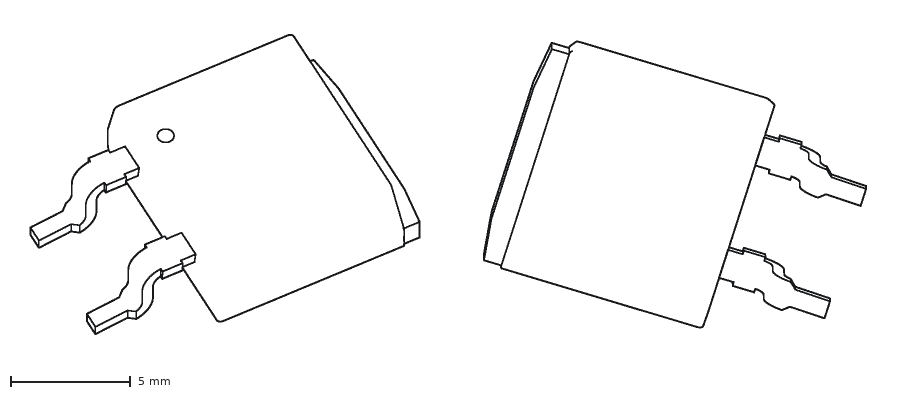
import cadquery as cq
import math

TILT = 0.5

HOUSING_WIDTH = 9.82
HOUSING_LENGTH = 9.06
HOUSING_HEIGHT = 4.13
BACK_WALL_HEIGHT = 1.1
SIDE_WALL_HEIGHT = 1.08
PARTING_HEIGHT = 2.33
SIDE_LEAN = 0.48
BACK_LEAN = 0.44
FRONT_UPPER_LEAN = 0.18
FRONT_LOWER_LEAN = 0.22
LONG_EDGE_RADIUS = 0.29
SIDE_EDGE_RADIUS = 0.1

MARK_X = -2.2
MARK_Y = 1.46
MARK_TOP_RADIUS = 0.5
MARK_FLOOR_RADIUS = 0.35
MARK_DEPTH = 0.16
MARK_RIM_RADIUS = 0.16

TAB_WIDTH = 9.54
TAB_LENGTH = 0.99
TAB_BACK_WIDTH = 5.91
TAB_CORNER_LENGTH = 0.23

LEAD_SPACING = 5.08
LEAD_THICKNESS = 0.51
LEAD_TOP = PARTING_HEIGHT + 0.6
LEAD_REACH = 4.52
BEND_START = 1.45
INNER_BEND_RADIUS = 0.5
OUTER_BEND_RADIUS = INNER_BEND_RADIUS + LEAD_THICKNESS
SHANK_LENGTH = 0.82
FOOT_SLOPE = 8.0
LEAD_WIDTH = 1.27
WING_WIDTH = 1.59
FOOT_WIDTH = 0.77
WING_START = 0.64
WING_END = 1.59
TAPER_START = 2.73
TAPER_END = 3.0


def make_housing():
    half_width = HOUSING_WIDTH / 2
    top_half_width = half_width - SIDE_LEAN

    body = (
        cq.Workplane("YZ")
        .polyline([
            (HOUSING_LENGTH, 0),
            (HOUSING_LENGTH, BACK_WALL_HEIGHT),
            (HOUSING_LENGTH - BACK_LEAN, HOUSING_HEIGHT),
            (FRONT_UPPER_LEAN, HOUSING_HEIGHT),
            (0, PARTING_HEIGHT),
            (FRONT_LOWER_LEAN, 0),
        ])
        .close()
        .extrude(half_width, both=True)
    )
    body = body.faces(">Z").edges("|X").fillet(LONG_EDGE_RADIUS)
    body = body.faces("<Z").edges("|X and <Y").fillet(LONG_EDGE_RADIUS)

    cross_section = (
        cq.Workplane("XZ")
        .polyline([
            (-half_width, 0),
            (half_width, 0),
            (half_width, SIDE_WALL_HEIGHT),
            (top_half_width, HOUSING_HEIGHT),
            (-top_half_width, HOUSING_HEIGHT),
            (-half_width, SIDE_WALL_HEIGHT),
        ])
        .close()
        .extrude(-HOUSING_LENGTH)
    )
    body = body.intersect(cross_section)

    body = body.edges("(not (|X or |Y)) or (|Y and (>Z or <Z))").fillet(SIDE_EDGE_RADIUS)
    return body.cut(make_mark())


def make_mark():
    """Conical recess whose rim is flared by a rounded edge."""
    cone_angle = math.atan2(MARK_DEPTH, MARK_TOP_RADIUS - MARK_FLOOR_RADIUS)
    flare = MARK_RIM_RADIUS * math.tan(cone_angle / 2)
    half_turn = MARK_RIM_RADIUS * math.sin(cone_angle / 2)
    half_drop = MARK_RIM_RADIUS * (1 - math.cos(cone_angle / 2))
    rim_radius = MARK_TOP_RADIUS + flare
    return (
        cq.Workplane("XZ")
        .lineTo(rim_radius, 0)
        .threePointArc(
            (rim_radius - half_turn, -half_drop),
            (MARK_TOP_RADIUS - flare * math.cos(cone_angle), -flare * math.sin(cone_angle)),
        )
        .lineTo(MARK_FLOOR_RADIUS, -MARK_DEPTH)
        .lineTo(0, -MARK_DEPTH)
        .close()
        .revolve(360, (0, 0), (0, 1))
        .translate((MARK_X, MARK_Y, HOUSING_HEIGHT))
    )


def make_tab():
    """Flat plate that butts against the upright back wall of the housing."""
    half_width = TAB_WIDTH / 2
    half_back = TAB_BACK_WIDTH / 2
    tab_back = HOUSING_LENGTH + TAB_LENGTH
    corner = tab_back - TAB_CORNER_LENGTH
    return (
        cq.Workplane("XY")
        .polyline([
            (-half_width, HOUSING_LENGTH),
            (half_width, HOUSING_LENGTH),
            (half_width, corner),
            (half_back, tab_back),
            (-half_back, tab_back),
            (-half_width, corner),
        ])
        .close()
        .extrude(BACK_WALL_HEIGHT)
    )


def make_lead_strip():
    """Gull-wing strip, as wide as the wings, that starts on the front face of the housing."""
    slope = math.radians(FOOT_SLOPE)
    along_y, along_z = -math.cos(slope), -math.sin(slope)
    up_y, up_z = -math.sin(slope), math.cos(slope)

    upper_y = -BEND_START
    upper_z = LEAD_TOP - OUTER_BEND_RADIUS
    lower_y = upper_y - OUTER_BEND_RADIUS - INNER_BEND_RADIUS
    lower_z = upper_z - SHANK_LENGTH

    middle_turn = math.radians(90 - FOOT_SLOPE) / 2

    def lower_middle(radius):
        return (lower_y + radius * math.cos(middle_turn), lower_z - radius * math.sin(middle_turn))

    def lower_end(radius):
        return (lower_y - radius * up_y, lower_z - radius * up_z)

    def upper_middle(radius):
        return (upper_y - radius * math.sqrt(0.5), upper_z + radius * math.sqrt(0.5))

    bottom_end = lower_end(OUTER_BEND_RADIUS)
    foot_length = (LEAD_REACH + bottom_end[0]) / -along_y
    tip_bottom_z = bottom_end[1] + foot_length * along_z
    tip_top_z = tip_bottom_z + LEAD_THICKNESS / math.cos(slope)

    lead_bottom = LEAD_TOP - LEAD_THICKNESS
    lean = FRONT_UPPER_LEAN / (HOUSING_HEIGHT - PARTING_HEIGHT)
    root_top = (LEAD_TOP - PARTING_HEIGHT) * lean
    root_bottom = (lead_bottom - PARTING_HEIGHT) * lean

    return (
        cq.Workplane("YZ")
        .moveTo(root_top, LEAD_TOP)
        .lineTo(upper_y, LEAD_TOP)
        .threePointArc(upper_middle(OUTER_BEND_RADIUS), (upper_y - OUTER_BEND_RADIUS, upper_z))
        .lineTo(upper_y - OUTER_BEND_RADIUS, lower_z)
        .threePointArc(lower_middle(INNER_BEND_RADIUS), lower_end(INNER_BEND_RADIUS))
        .lineTo(-LEAD_REACH, tip_top_z)
        .lineTo(-LEAD_REACH, tip_bottom_z)
        .lineTo(*bottom_end)
        .threePointArc(lower_middle(OUTER_BEND_RADIUS), (upper_y - INNER_BEND_RADIUS, lower_z))
        .lineTo(upper_y - INNER_BEND_RADIUS, upper_z)
        .threePointArc(upper_middle(INNER_BEND_RADIUS), (upper_y, lead_bottom))
        .lineTo(root_bottom, lead_bottom)
        .close()
        .extrude(WING_WIDTH / 2, both=True)
    )


def make_lead(x):
    right_edge = [
        (LEAD_WIDTH / 2, FRONT_UPPER_LEAN),
        (LEAD_WIDTH / 2, -WING_START),
        (WING_WIDTH / 2, -WING_START),
        (WING_WIDTH / 2, -WING_END),
        (LEAD_WIDTH / 2, -WING_END),
        (LEAD_WIDTH / 2, -TAPER_START),
        (FOOT_WIDTH / 2, -TAPER_END),
        (FOOT_WIDTH / 2, -LEAD_REACH),
    ]
    left_edge = [(-edge_x, y) for edge_x, y in reversed(right_edge)]
    plan = cq.Workplane("XY").polyline(right_edge + left_edge).close().extrude(HOUSING_HEIGHT, both=True)
    return make_lead_strip().intersect(plan).translate((x, 0, 0))


def tilted(body):
    """Solid of the body, leaned with the rest of the part."""
    return body.rotate((0, 0, 0), (1, 0, 0), -TILT).solids().val()


housing = make_housing()
tab = make_tab()
leads = [make_lead(side * LEAD_SPACING / 2) for side in (-1, 1)]

result = cq.Compound.makeCompound([tilted(body) for body in (housing, tab, *leads)])